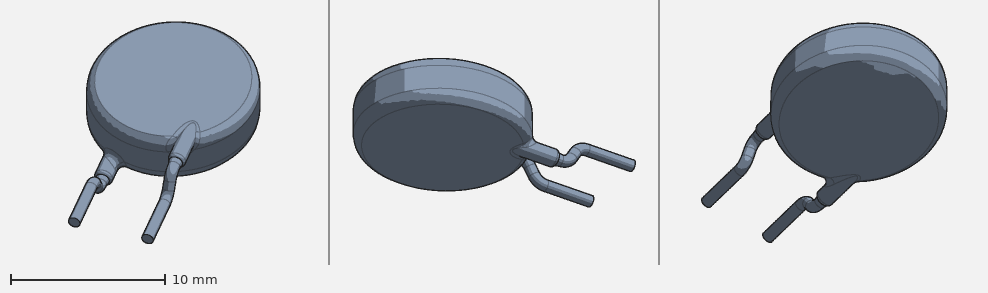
import cadquery as cq
import math

BODY_WIDTH = 11.19
BODY_LENGTH = 11.81
BODY_HEIGHT = 6.0
BAND_HEIGHT = 1.77
RIM_INSET = 0.53
RIM_HEIGHT = 1.77

OVERALL_LENGTH = 18.87
LEAD_DIAMETER = 0.8
LEAD_PITCH = 5.0
LEAD_X = LEAD_PITCH / 2
LEAD_OFFSET_Z = 1.53
BEND_RADIUS = 1.0
BEND_ANGLE = math.radians(60)
BEND_START_Y = -7.43
LEAD_END_Y = BODY_LENGTH / 2 - OVERALL_LENGTH

UPPER_COLLAR_DIAMETER = 1.17
LOWER_COLLAR_DIAMETER = 1.23
COLLAR_START_Y = -2.83
SHOULDER_Y = -6.83
SHOULDER_LENGTH = 0.25
NECK_DIAMETER = 0.92
COLLAR_FILLET = 0.5


def make_body():
    """Revolve the half section, then stretch it along Y to an oval."""
    radius = BODY_WIDTH / 2
    rim_radius = radius - RIM_INSET
    apex_z = BODY_HEIGHT / 2
    dome_rise = apex_z - RIM_HEIGHT
    dome_radius = (rim_radius**2 + dome_rise**2) / (2 * dome_rise)
    mid_radius = rim_radius / 2
    mid_z = apex_z - dome_radius + math.sqrt(dome_radius**2 - mid_radius**2)
    disc = (
        cq.Workplane("YZ")
        .moveTo(0, -apex_z)
        .threePointArc((mid_radius, -mid_z), (rim_radius, -RIM_HEIGHT))
        .tangentArcPoint((radius, -BAND_HEIGHT / 2), relative=False)
        .lineTo(radius, BAND_HEIGHT / 2)
        .tangentArcPoint((rim_radius, RIM_HEIGHT), relative=False)
        .threePointArc((mid_radius, mid_z), (0, apex_z))
        .close()
        .revolve(360, (0, 0, 0), (0, 1, 0))
    )
    stretch = cq.Matrix([[1, 0, 0, 0], [0, BODY_LENGTH / BODY_WIDTH, 0, 0], [0, 0, 1, 0]])
    return cq.Workplane(disc.val().transformGeometry(stretch))


def make_collar(x, z, diameter):
    """Collar along Y with a rounded shoulder and a neck tapering to the lead."""
    radius = diameter / 2
    neck_radius = NECK_DIAMETER / 2
    neck_y = SHOULDER_Y - SHOULDER_LENGTH
    return (
        cq.Workplane("XY")
        .moveTo(0, COLLAR_START_Y)
        .lineTo(radius, COLLAR_START_Y)
        .lineTo(radius, SHOULDER_Y)
        .tangentArcPoint((neck_radius, neck_y), relative=False)
        .lineTo(LEAD_DIAMETER / 2, BEND_START_Y)
        .lineTo(0, BEND_START_Y)
        .close()
        .revolve(360, (0, 0, 0), (0, 1, 0))
        .translate((x, 0, z))
    )


def make_lead(x, z):
    """Wire that leaves the collar at height z and bends back to the mid plane."""
    side = math.copysign(1, z)
    bend_run = BEND_RADIUS * math.sin(BEND_ANGLE)
    bend_drop = BEND_RADIUS * (1 - math.cos(BEND_ANGLE))
    half_run = BEND_RADIUS * math.sin(BEND_ANGLE / 2)
    half_drop = BEND_RADIUS * (1 - math.cos(BEND_ANGLE / 2))
    slope_drop = abs(z) - 2 * bend_drop
    slope_run = slope_drop / math.tan(BEND_ANGLE)
    bend_end_y = BEND_START_Y - 2 * bend_run - slope_run
    path = (
        cq.Workplane("YZ", origin=(x, 0, 0))
        .moveTo(COLLAR_START_Y, z)
        .lineTo(BEND_START_Y, z)
        .threePointArc(
            (BEND_START_Y - half_run, z - side * half_drop),
            (BEND_START_Y - bend_run, z - side * bend_drop),
        )
        .lineTo(bend_end_y + bend_run, side * bend_drop)
        .threePointArc((bend_end_y + half_run, side * half_drop), (bend_end_y, 0))
        .lineTo(LEAD_END_Y, 0)
    )
    section = cq.Workplane("XZ", origin=(x, COLLAR_START_Y, z)).circle(LEAD_DIAMETER / 2)
    return section.sweep(path)


def blend_collars(coating):
    """Round the seams where the collars emerge from the disc."""
    seam_y_limit = SHOULDER_Y + SHOULDER_LENGTH
    seams = [
        edge
        for edge in coating.edges().vals()
        if edge.BoundingBox().ymin > seam_y_limit
        and edge.BoundingBox().ymax < COLLAR_START_Y
        and edge.geomType() != "LINE"
    ]
    return coating.newObject(seams).fillet(COLLAR_FILLET)


coating = (
    make_body()
    .union(make_collar(LEAD_X, LEAD_OFFSET_Z, UPPER_COLLAR_DIAMETER))
    .union(make_collar(-LEAD_X, -LEAD_OFFSET_Z, LOWER_COLLAR_DIAMETER))
)
result = (
    blend_collars(coating)
    .union(make_lead(LEAD_X, LEAD_OFFSET_Z))
    .union(make_lead(-LEAD_X, -LEAD_OFFSET_Z))
)